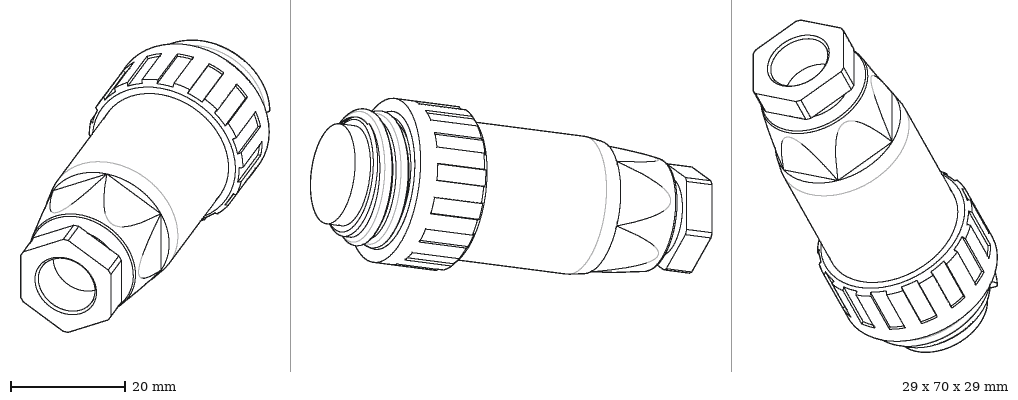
import cadquery as cq
import math


nut_flats = 17.0
nut_corner_dia = 19.1
nut_head_len = 5.0
nut_neck_dia = 13.7
cable_hole_dia = 10.7
cable_hole_mouth_dia = 11.6

housing_start = 7.5
housing_radius = 12.2
taper_angle = 8.5
taper_end = 22.5
end_chamfer_len = 0.4
end_chamfer_width = 0.25
wrench_end = 19.5
shoulder = 67.0
shoulder_chamfer_len = 0.5
shoulder_chamfer_width = 0.7
mating_end = 70.0
mating_dia = 17.7

thread_pitch = 3.17
thread_root_radius = 10.65
thread_crest_radius = 12.0
thread_base_width = 2.9
thread_top_width = 1.4
thread_flank_radius = 11.45
thread_base_radius = 10.4
thread_start = 66.4
thread_turns = 2.8

ring_start = 46.5
ring_end = 60.0
ring_radius = 14.5
ring_chamfer = 1.0
groove_count = 15
groove_width = 3.0
groove_depth = 0.5
groove_end = 56.65


def cylinder_y(radius, start, end):
    """Solid cylinder about the Y axis from Y = start to Y = end."""
    return cq.Workplane("XZ", origin=(0, start, 0)).circle(radius).extrude(start - end)


def hexagon_y(flats, start, end):
    """Hexagonal prism along Y with corners at top and bottom and flats facing +X and -X."""
    return (
        cq.Workplane("XZ", origin=(0, start, 0))
        .polygon(6, flats / math.cos(math.pi / 6))
        .extrude(start - end)
        .rotate((0, 0, 0), (0, 1, 0), 90)
    )


def make_nut():
    """Hexagonal gland nut with rounded corners, a round neck and a cable hole right through."""
    head = hexagon_y(nut_flats, 0, nut_head_len)
    head = head.intersect(cylinder_y(nut_corner_dia / 2, 0, nut_head_len))
    nut = head.union(cylinder_y(nut_neck_dia / 2, nut_head_len, housing_start))
    hole_radius = cable_hole_dia / 2
    nut = nut.cut(cylinder_y(hole_radius, 0, housing_start))
    mouth = nut.faces("<Y").edges("%CIRCLE").edges(cq.selectors.RadiusNthSelector(0))
    return mouth.chamfer((cable_hole_mouth_dia - cable_hole_dia) / 2)


def taper_radius(y):
    """Radius of the housing's tapered end at distance y along the axis."""
    return housing_radius - (taper_end - y) * math.tan(math.radians(taper_angle))


def make_thread_ridge():
    """Rounded right-hand ridge that winds down from the shoulder to below the ring's end face."""
    path = cq.Wire.makeHelix(thread_pitch, thread_turns * thread_pitch, thread_root_radius)
    ridge = (
        cq.Workplane("XZ")
        .moveTo(thread_base_radius, -thread_base_width / 2)
        .lineTo(thread_flank_radius, -thread_top_width / 2)
        .threePointArc((thread_crest_radius, 0), (thread_flank_radius, thread_top_width / 2))
        .lineTo(thread_base_radius, thread_base_width / 2)
        .close()
        .sweep(cq.Workplane(path), isFrenet=True)
    )
    return ridge.rotate((0, 0, 0), (1, 0, 0), 90).translate((0, thread_start, 0))


def make_threaded_end():
    """Threaded length of the housing, trimmed flat at the shoulder and at the ring's end face."""
    core_start = thread_start - (thread_turns + 1) * thread_pitch
    core = (
        cylinder_y(thread_root_radius, core_start, shoulder)
        .faces(">Y")
        .chamfer(shoulder_chamfer_len, shoulder_chamfer_width)
    )
    return core.union(make_thread_ridge()).intersect(
        cylinder_y(housing_radius, ring_end, shoulder)
    )


def make_housing():
    """Round body with a tapered end carrying six wrench flats, a thread and a mating spigot."""
    chamfer_end = housing_start + end_chamfer_len
    end_radius = taper_radius(chamfer_end)
    housing = (
        cq.Workplane("YZ")
        .moveTo(housing_start, 0)
        .lineTo(housing_start, end_radius - end_chamfer_width)
        .lineTo(chamfer_end, end_radius)
        .lineTo(taper_end, housing_radius)
        .lineTo(ring_end, housing_radius)
        .lineTo(ring_end, mating_dia / 2)
        .lineTo(mating_end, mating_dia / 2)
        .lineTo(mating_end, 0)
        .close()
        .revolve(360, (0, 0, 0), (1, 0, 0))
    )
    wrench_flats = 2 * taper_radius(wrench_end) * math.cos(math.pi / 6)
    flats_cut = cylinder_y(housing_radius, housing_start, wrench_end).cut(
        hexagon_y(wrench_flats, housing_start, wrench_end)
    )
    return housing.cut(flats_cut).union(make_threaded_end())


def make_ring():
    """Coupling ring with grip grooves that run out through its chamfered end."""
    ring = cylinder_y(ring_radius, ring_start, ring_end).faces("<Y").chamfer(ring_chamfer)
    annulus = cylinder_y(ring_radius, ring_start, groove_end).cut(
        cylinder_y(ring_radius - groove_depth, ring_start, groove_end)
    )
    slab = (
        cq.Workplane("XY", origin=(0, ring_start, 0))
        .box(groove_width, groove_end - ring_start, ring_radius, centered=(True, False, False))
    )
    groove = annulus.intersect(slab)
    for i in range(groove_count):
        ring = ring.cut(groove.rotate((0, 0, 0), (0, 1, 0), i * 360 / groove_count))
    return ring.cut(cylinder_y(housing_radius, ring_start, ring_end))


nut = make_nut()
housing = make_housing()
ring = make_ring()

result = cq.Compound.makeCompound([nut.val(), housing.val(), ring.val()])